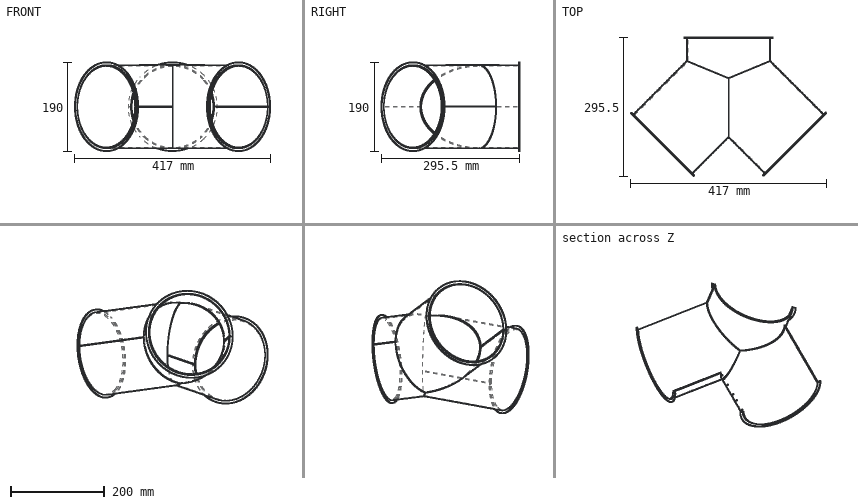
import cadquery as cq
import math

overall_width = 417.0
flange_diameter = 190.0
bore_diameter = 174.0
wall = 2.0
stub_length = 87.0
seam_gap = 1.0

stub_angle = 90.0
left_angle = 225.0
right_angle = 315.0
full_turn = 360.0

pipe_diameter = bore_diameter + 2 * wall
branch_length = overall_width / math.sqrt(2) - flange_diameter / 2
wedge_reach = 2 * overall_width


def ray_point(angle, distance):
    """Point in the XY plane at a distance from the junction centre."""
    return (
        distance * math.cos(math.radians(angle)),
        distance * math.sin(math.radians(angle)),
    )


def straight_flanged_pipe(length):
    """Pipe along +X with a ring flange at its end and a seam along its +Y side."""
    pipe = (
        cq.Workplane("YZ", origin=(-pipe_diameter, 0, 0))
        .circle(pipe_diameter / 2)
        .extrude(pipe_diameter + length)
    )
    flange = (
        cq.Workplane("YZ", origin=(length - wall, 0, 0))
        .circle(flange_diameter / 2)
        .extrude(wall)
    )
    bore = (
        cq.Workplane("YZ", origin=(-pipe_diameter, 0, 0))
        .circle(bore_diameter / 2)
        .extrude(pipe_diameter + length)
    )
    seam = cq.Workplane("XY").box(
        2 * overall_width, flange_diameter, seam_gap, centered=(True, False, True)
    )
    return pipe.union(flange).cut(bore).cut(seam)


def mitre_wedge(start_angle, end_angle):
    """Sector around the junction between the two mitre planes of one pipe."""
    middle_angle = (start_angle + end_angle) / 2
    return (
        cq.Workplane("XY")
        .moveTo(0, 0)
        .lineTo(*ray_point(start_angle, wedge_reach))
        .lineTo(*ray_point(middle_angle, wedge_reach))
        .lineTo(*ray_point(end_angle, wedge_reach))
        .close()
        .extrude(flange_diameter, both=True)
    )


def mitred_pipe(length, angle, previous_angle, next_angle):
    """Flanged pipe trimmed on the bisecting planes it shares with its neighbours."""
    pipe = straight_flanged_pipe(length).rotate((0, 0, 0), (0, 0, 1), angle)
    wedge = mitre_wedge((previous_angle + angle) / 2, (angle + next_angle) / 2)
    return pipe.intersect(wedge)


stub = mitred_pipe(stub_length, stub_angle, right_angle - full_turn, left_angle)
branches = [
    mitred_pipe(branch_length, left_angle, stub_angle, right_angle),
    mitred_pipe(branch_length, right_angle, left_angle, stub_angle + full_turn),
]

result = cq.Compound.makeCompound([stub.val(), *[branch.val() for branch in branches]])